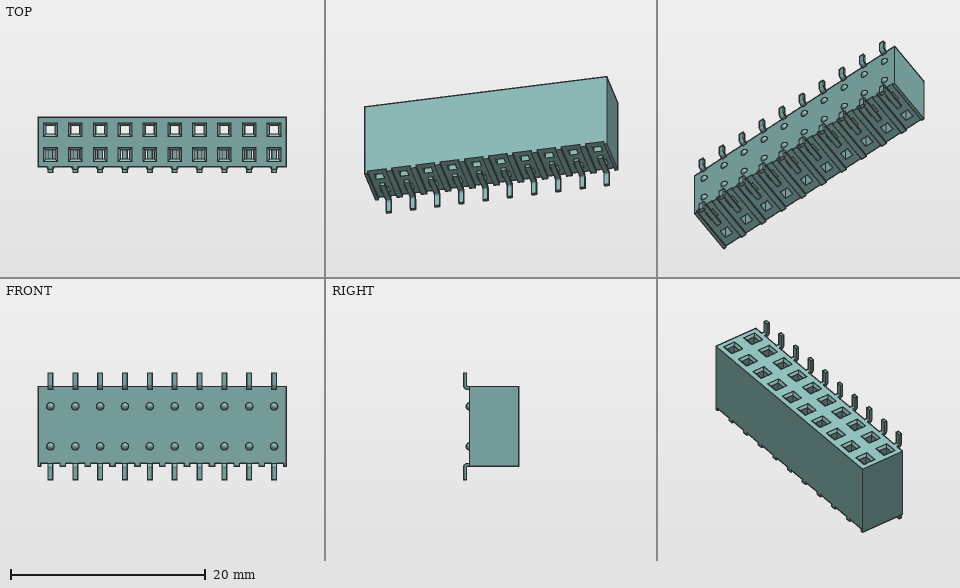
import cadquery as cq
import math

positions = 10
pitch = 2.55
rows = 2
housing_length = positions * pitch
housing_depth = rows * pitch
housing_height = 8.18

hole_side = 0.9
lead_in = 0.25

leg_width = 0.5
leg_thickness = 0.3
leg_reach = 0.58
leg_overhang = 1.37
leg_inner_radius = 0.1
leg_outer_radius = leg_inner_radius + leg_thickness
bottom_leg_length = housing_depth / 2
top_leg_embed = 0.13

rib_width = 0.58
channel_width = pitch - rib_width
channel_depth = leg_thickness

dome_diameter = 0.75
dome_height = 0.33

column_places = [(i - (positions - 1) / 2) * pitch for i in range(positions)]
row_places = [(i + 0.5) * pitch for i in range(rows)]
dome_heights = [-housing_height / 4, housing_height / 4]
top = housing_height / 2
bottom = -top


def make_housing():
    """Block with channels underneath and tapered socket holes through it."""
    block = cq.Workplane("XY").box(housing_length, housing_depth, housing_height)
    block = block.translate((0, housing_depth / 2, 0))

    channels = (
        cq.Workplane("XZ")
        .pushPoints([(x, bottom + channel_depth / 2) for x in column_places])
        .rect(channel_width, channel_depth)
        .extrude(-housing_depth)
    )

    hole_centres = [(x, y) for x in column_places for y in row_places]
    holes = (
        cq.Workplane("XY", origin=(0, 0, bottom))
        .pushPoints(hole_centres)
        .rect(hole_side, hole_side)
        .extrude(housing_height)
    )
    lead_ins = (
        cq.Workplane("XY", origin=(0, 0, top))
        .pushPoints(hole_centres)
        .rect(hole_side + 2 * lead_in, hole_side + 2 * lead_in)
        .extrude(-lead_in, taper=45)
    )
    return block.cut(channels).cut(holes).cut(lead_ins)


def make_top_leg(length_inside):
    """Leg at x = 0, flush with the housing top, that leaves the front face and bends upwards."""
    tip = top + leg_overhang
    underside = top - leg_thickness
    inner_face = leg_thickness - leg_reach
    bend_y = leg_outer_radius - leg_reach
    bend_z = underside + leg_outer_radius
    diagonal = math.sqrt(0.5)
    inner_mid = leg_inner_radius * diagonal
    outer_mid = leg_outer_radius * diagonal
    return (
        cq.Workplane("YZ", origin=(-leg_width / 2, 0, 0))
        .moveTo(length_inside, underside)
        .lineTo(bend_y, underside)
        .threePointArc((bend_y - outer_mid, bend_z - outer_mid), (-leg_reach, bend_z))
        .lineTo(-leg_reach, tip)
        .lineTo(inner_face, tip)
        .lineTo(inner_face, bend_z)
        .threePointArc((bend_y - inner_mid, bend_z - inner_mid), (bend_y, top))
        .lineTo(length_inside, top)
        .close()
        .extrude(leg_width)
    )


def make_dome():
    """Sphere at x = z = 0, sunk into the front face so that only its cap stands out."""
    radius = dome_diameter / 2
    sphere_radius = (radius**2 + dome_height**2) / (2 * dome_height)
    centre_y = sphere_radius - dome_height
    return cq.Workplane("XY").sphere(sphere_radius).translate((0, centre_y, 0))


top_leg = make_top_leg(top_leg_embed)
bottom_leg = make_top_leg(bottom_leg_length).mirror("XY")
dome = make_dome()

result = make_housing()
for x in column_places:
    result = result.union(top_leg.translate((x, 0, 0)))
    result = result.union(bottom_leg.translate((x, 0, 0)))
    for z in dome_heights:
        result = result.union(dome.translate((x, 0, z)))